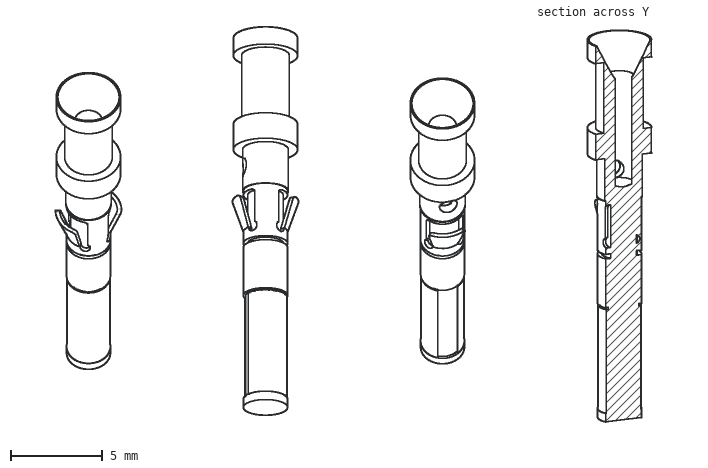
import cadquery as cq
import math

length = 21.5
flange_dia = 3.5
barrel_dia = 2.6
shoulder_dia = 2.5
body_dia = 2.4

clip_sheet = 0.24
clip_core_dia = body_dia - 2 * clip_sheet
split_sleeve_dia = 2.36
split_core_dia = 2.15

rim_top = 0.5
split_sleeve_top = 6.4
body_bottom = 6.51
body_top = 9.3
clip_bottom = 9.55
shoulder_bottom = 12.6
collar_bottom = 15.0
collar_top = 16.5
flange_bottom = 20.5

funnel_dia = 3.33
funnel_depth = 2.0
bore_dia = 1.5
drill_angle = 118.0
inspection_dia = 0.99
inspection_height = 13.9
bore_bottom = inspection_height - inspection_dia / 2

split_width = 1.12

clip_turn = -6.5
window_half_angle = 56.5
window_bottom = 10.21
window_top = 12.36
corner_radius = 0.22
relief_radius = 0.28
relief_half_angle = 50.0

tab_reach = 1.8
tab_top = 11.98
tab_half_angle = 35.0


def disc(diameter, bottom, top):
    return cq.Workplane("XY").workplane(offset=bottom).circle(diameter / 2).extrude(top - bottom)


def turned_body():
    """Stepped round body; the cores show in the gaps beside the sleeves."""
    steps = [
        (body_dia, 0, rim_top),
        (split_sleeve_dia, rim_top, split_sleeve_top),
        (split_core_dia, split_sleeve_top, body_bottom),
        (body_dia, body_bottom, body_top),
        (clip_core_dia, body_top, clip_bottom),
        (body_dia, clip_bottom, shoulder_bottom),
        (shoulder_dia, shoulder_bottom, collar_bottom),
        (flange_dia, collar_bottom, collar_top),
        (barrel_dia, collar_top, flange_bottom),
        (flange_dia, flange_bottom, length),
    ]
    body = cq.Workplane("XY")
    for diameter, bottom, top in steps:
        body = body.union(disc(diameter, bottom, top))
    return body


def wire_entry():
    """Funnel leading into a drilled blind bore."""
    bore_radius = bore_dia / 2
    point_depth = bore_radius / math.tan(math.radians(drill_angle / 2))
    return (
        cq.Workplane("XZ")
        .moveTo(0, length)
        .lineTo(funnel_dia / 2, length)
        .lineTo(bore_radius, length - funnel_depth)
        .lineTo(bore_radius, bore_bottom)
        .lineTo(0, bore_bottom - point_depth)
        .close()
        .revolve(360, (0, 0, 0), (0, 1, 0))
    )


def inspection_hole():
    """Hole from the +Y side of the shoulder into the bore, just above the conical end."""
    return (
        cq.Workplane("XZ", origin=(0, 0, inspection_height))
        .circle(inspection_dia / 2)
        .extrude(-shoulder_dia)
    )


def sleeve_split():
    """Gap between the two facing edges of the split sleeve."""
    height = split_sleeve_top - rim_top
    gap = cq.Workplane("XY", origin=(0, 0, rim_top)).box(
        split_width, split_sleeve_dia, height, centered=(True, False, False)
    )
    return gap.cut(disc(split_core_dia, rim_top, split_sleeve_top))


def clip_wall_sector(bottom, top):
    """Piece of the clip sleeve wall with radial sides, centred on the -Y side."""
    radius = body_dia / 2
    half_angle = math.radians(window_half_angle)
    side_x = radius * math.sin(half_angle)
    side_y = -radius * math.cos(half_angle)
    sector = (
        cq.Workplane("XY")
        .workplane(offset=bottom)
        .lineTo(-side_x, side_y)
        .threePointArc((0, -radius), (side_x, side_y))
        .close()
        .extrude(top - bottom)
    )
    return sector.cut(disc(clip_core_dia, bottom, top))


def clip_window():
    """Window through the clip sleeve with a round relief at each lower corner."""
    window = clip_wall_sector(window_bottom, window_top)
    window = window.faces(">Z").edges("%LINE").fillet(corner_radius)
    core = disc(clip_core_dia, clip_bottom, shoulder_bottom)
    for side in (-1, 1):
        relief = (
            cq.Workplane("XZ", origin=(0, 0, window_bottom))
            .circle(relief_radius)
            .extrude(body_dia)
            .rotate((0, 0, 0), (0, 0, 1), side * relief_half_angle)
        )
        window = window.union(relief.cut(core))
    return window


def spring_tab():
    """Flared conical strip of the sleeve wall on the -Y side, standing on the window's lower edge."""
    root_radius = body_dia / 2
    tab = (
        cq.Workplane("XZ")
        .moveTo(root_radius, window_bottom)
        .lineTo(tab_reach, tab_top)
        .lineTo(tab_reach - clip_sheet, tab_top)
        .lineTo(root_radius - clip_sheet, window_bottom)
        .close()
        .revolve(2 * tab_half_angle, (0, 0, 0), (0, 1, 0))
        .rotate((0, 0, 0), (0, 0, 1), -90 - tab_half_angle)
    )
    return tab.faces(">Z").edges("%LINE").fillet(corner_radius)


result = turned_body().cut(wire_entry()).cut(inspection_hole()).cut(sleeve_split())
for angle in (clip_turn, clip_turn + 180):
    result = result.cut(clip_window().rotate((0, 0, 0), (0, 0, 1), angle))
    result = result.union(spring_tab().rotate((0, 0, 0), (0, 0, 1), angle))